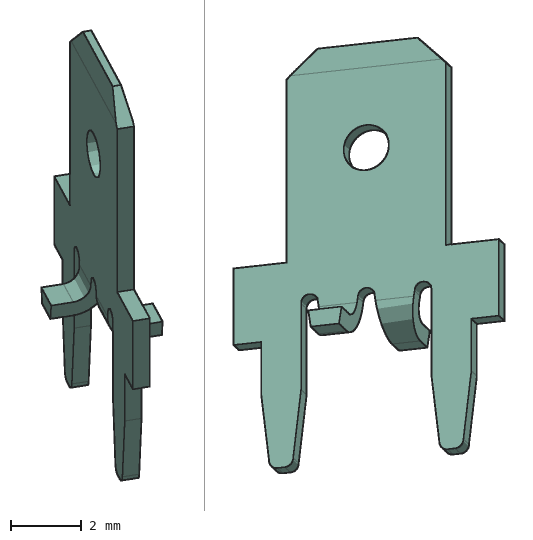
import cadquery as cq

height = 12.45
thickness = 0.5
half_thickness = thickness / 2

tab_half_width = 2.38
tip_half_width = 1.5
corner_drop = 0.87
bevel_height = 0.76
tip_thickness = 0.25
hole_radius = 0.67
hole_z = 9.29

shoulder_half_width = 3.96
shoulder_top = 6.11
shoulder_bottom = 3.82

pin_x = 2.54
pin_half_width = 0.6
pin_taper_top = 2.27
pin_tip_half_width = 0.36
pin_tip_radius = 0.25
pin_tip_flat_half_width = pin_tip_half_width - pin_tip_radius

slot_radius = 0.25
slot_center_z = 4.84
slot_pitch = pin_x - pin_half_width - slot_radius
finger_x = slot_pitch / 2
finger_root_half_width = finger_x - slot_radius
finger_end_half_width = 0.42
finger_reach = 1.4
bend_inner_radius = 0.5
bend_outer_radius = bend_inner_radius + thickness
bend_center_z = 4.69
finger_bottom = bend_center_z - bend_outer_radius

clearance = 0.12


def extrude_through_y(sketch, depth):
    """Extrude an XZ outline symmetrically about Y = 0."""
    return sketch.extrude(depth).translate((0, depth / 2, 0))


def make_body():
    """Tab and shoulders, with the slots and the tab hole cut through."""
    right_edge = [
        (tip_half_width, height),
        (tab_half_width, height - corner_drop),
        (tab_half_width, shoulder_top),
        (shoulder_half_width, shoulder_top),
        (shoulder_half_width, shoulder_bottom),
        (pin_x - pin_half_width, shoulder_bottom),
        (pin_x - pin_half_width, slot_center_z),
    ]
    left_edge = [(-x, z) for x, z in reversed(right_edge)]
    body = extrude_through_y(cq.Workplane("XZ").polyline(right_edge + left_edge).close(), thickness)
    slot_centers = [(side * slot_pitch, slot_center_z) for side in (-1, 0, 1)]
    slots = cq.Workplane("XZ").pushPoints(slot_centers).circle(slot_radius)
    hole = cq.Workplane("XZ").center(0, hole_z).circle(hole_radius)
    body = body.cut(extrude_through_y(slots, thickness + clearance))
    return body.cut(extrude_through_y(hole, thickness + clearance))


def bevel_tip(body):
    """Thin the tab towards its top edge on both faces."""
    bevel_z = height - bevel_height
    for side in (-1, 1):
        wedge = (
            cq.Workplane("YZ")
            .moveTo(side * half_thickness, bevel_z)
            .lineTo(side * tip_thickness / 2, height)
            .lineTo(side * half_thickness, height)
            .close()
            .extrude(tab_half_width, both=True)
        )
        body = body.cut(wedge)
    return body


def make_pin(center_x):
    """Straight pin that tapers to a tip with rounded corners."""
    outline = (
        cq.Workplane("XZ")
        .center(center_x, 0)
        .moveTo(-pin_half_width, shoulder_bottom)
        .lineTo(-pin_half_width, pin_taper_top)
        .lineTo(-pin_tip_half_width, pin_tip_radius)
        .radiusArc((-pin_tip_flat_half_width, 0), -pin_tip_radius)
        .lineTo(pin_tip_flat_half_width, 0)
        .radiusArc((pin_tip_half_width, pin_tip_radius), -pin_tip_radius)
        .lineTo(pin_half_width, pin_taper_top)
        .lineTo(pin_half_width, shoulder_bottom)
        .close()
    )
    return extrude_through_y(outline, thickness)


def make_finger(center_x, direction):
    """Tapered finger bent 90 degrees towards the given Y direction."""
    bend_center_y = half_thickness + bend_inner_radius
    bent_strip = (
        cq.Workplane("YZ", origin=(center_x, 0, 0))
        .moveTo(-direction * half_thickness, slot_center_z)
        .lineTo(-direction * half_thickness, bend_center_z)
        .radiusArc((direction * bend_center_y, finger_bottom), -direction * bend_outer_radius)
        .lineTo(direction * finger_reach, finger_bottom)
        .lineTo(direction * finger_reach, finger_bottom + thickness)
        .lineTo(direction * bend_center_y, finger_bottom + thickness)
        .radiusArc((direction * half_thickness, bend_center_z), direction * bend_inner_radius)
        .lineTo(direction * half_thickness, slot_center_z)
        .close()
        .extrude(finger_root_half_width, both=True)
    )
    taper_outline = (
        cq.Workplane("XZ")
        .center(center_x, 0)
        .moveTo(-finger_root_half_width, slot_center_z)
        .lineTo(finger_root_half_width, slot_center_z)
        .lineTo(finger_end_half_width, finger_bottom)
        .lineTo(-finger_end_half_width, finger_bottom)
        .close()
    )
    return bent_strip.intersect(extrude_through_y(taper_outline, 2 * (finger_reach + clearance)))


result = bevel_tip(make_body())
for side in (-1, 1):
    result = result.union(make_pin(side * pin_x))
    result = result.union(make_finger(side * finger_x, side))
result = result.clean()